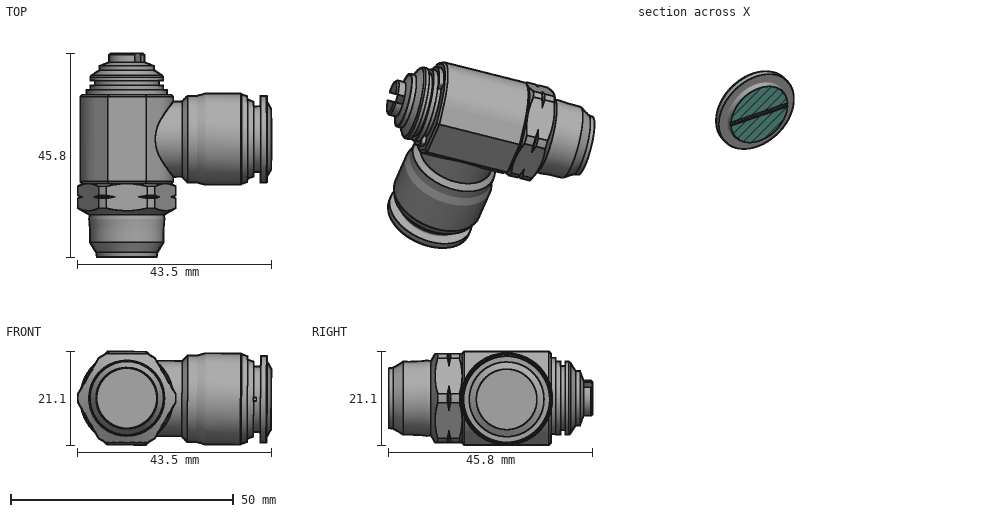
import cadquery as cq
import math

swivel_angle = 0.46

body_radius = 10.5
body_half_length = 10.0
body_chamfer = 0.5

hex_across_flats = 20.0
hex_corner_radius = 11.02
hex_length = 7.0
hex_chamfer_angle = math.radians(30)
hex_groove_y = -12.95
hex_groove_bottom_radius = 10.35
hex_groove_half_width = 0.35

stem_top_radius = 8.4
stem_collar_y = -17.95
stem_thread_radius = 8.5
stem_step_y = -20.3
stem_step_radius = 8.3
stem_taper_y = -23.2
stem_taper_radius = 8.27
stem_nose_y = -25.45
stem_nose_radius = 6.9
stem_end_radius = 6.75
stem_end_y = -26.5

clip_top_y = 11.05
cap_rim_radius = 8.25
cap_groove_radius = 7.25
cap_groove_bottom_y = 12.1
cap_groove_top_y = 13.15
cap_rim_top_y = 13.95
cap_edge_y = 14.35
cap_edge_radius = 7.95
collar_radius = 6.15
collar_bottom_y = 15.5
collar_top_y = 16.55
collar_cone_radius = 5.9
knob_radius = 4.0
knob_bottom_y = 17.3
knob_top_y = 19.31
knob_chamfer = 0.4
knob_slot_width = 1.8
knob_slot_angle = 50.5

clip_radius = 9.1
clip_gap_start = 192.0
clip_gap_end = 295.0
clip_end_fillet = 0.5

port_neck_radius = 8.5
port_shoulder_x = 12.4
port_sleeve_x = 13.65
port_sleeve_radius = 9.75
port_sleeve_end_x = 15.72
port_barrel_x = 17.6
port_barrel_radius = 10.27
port_barrel_end_x = 25.55
port_lip_x = 25.77
port_lip_radius = 10.1
port_step_x = 27.1
port_step_radius = 9.65
port_nose_radius = 8.95
port_end_x = 28.5
port_end_radius = 8.4
collet_radius = 7.4
collet_fillet = 0.35
collet_flange_x = 30.04
collet_flange_radius = 9.75
collet_flange_edge_x = 31.33
collet_flange_end_x = 31.53
collet_flange_end_radius = 9.67
collet_cone_radius = 8.4
collet_end_radius = 6.8
collet_end_x = 32.475
collet_slit_width = 0.75
collet_slit_end_x = 29.05


def spin_about_y(points):
    """Revolve a (radius, y) outline about the Y axis."""
    profile = cq.Workplane("XY").polyline(points).close()
    return profile.revolve(360, (0, 0, 0), (0, 1, 0))


def prism_along_y(sketch, bottom_y, top_y):
    """Extrude an outline drawn on the XZ plane from bottom_y up to top_y."""
    return sketch.extrude(bottom_y - top_y).translate((0, bottom_y, 0))


def make_body():
    octagon_half_flat = body_radius * math.tan(math.radians(22.5))
    tangent = body_radius * math.sqrt(0.5)
    outline = (
        cq.Workplane("XZ")
        .moveTo(octagon_half_flat, body_radius)
        .lineTo(tangent, tangent)
        .threePointArc((body_radius, 0), (tangent, -tangent))
        .lineTo(octagon_half_flat, -body_radius)
        .lineTo(-octagon_half_flat, -body_radius)
        .lineTo(-tangent, -tangent)
        .threePointArc((-body_radius, 0), (-tangent, tangent))
        .lineTo(-octagon_half_flat, body_radius)
        .close()
    )
    body = prism_along_y(outline, -body_half_length, body_half_length)
    return body.faces("<Y or >Y").chamfer(body_chamfer)


def make_hexagon():
    top_y = -body_half_length
    bottom_y = top_y - hex_length
    flat_radius = hex_across_flats / 2
    corner_diameter = hex_across_flats / math.cos(math.radians(30))
    outline = cq.Workplane("XZ").polygon(6, corner_diameter)
    hexagon = prism_along_y(outline, bottom_y, top_y)

    slope = math.tan(hex_chamfer_angle)
    top_drop = (hex_corner_radius - flat_radius) * slope
    bottom_rise = (hex_corner_radius - stem_top_radius) * slope
    envelope = spin_about_y([
        (0, top_y),
        (flat_radius, top_y),
        (hex_corner_radius, top_y - top_drop),
        (hex_corner_radius, hex_groove_y + hex_groove_half_width),
        (hex_groove_bottom_radius, hex_groove_y),
        (hex_corner_radius, hex_groove_y - hex_groove_half_width),
        (hex_corner_radius, bottom_y + bottom_rise),
        (stem_top_radius, bottom_y),
        (0, bottom_y),
    ])
    return hexagon.intersect(envelope)


def make_stem():
    return spin_about_y([
        (0, -body_half_length),
        (stem_top_radius, -body_half_length),
        (stem_top_radius, -body_half_length - hex_length),
        (stem_thread_radius, stem_collar_y),
        (stem_step_radius, stem_step_y),
        (stem_taper_radius, stem_taper_y),
        (stem_nose_radius, stem_nose_y),
        (stem_end_radius, stem_end_y),
        (0, stem_end_y),
    ])


def make_cap():
    return spin_about_y([
        (0, body_half_length),
        (cap_groove_radius, body_half_length),
        (cap_groove_radius, clip_top_y),
        (cap_rim_radius, clip_top_y),
        (cap_rim_radius, cap_groove_bottom_y),
        (cap_groove_radius, cap_groove_bottom_y),
        (cap_groove_radius, cap_groove_top_y),
        (cap_rim_radius, cap_groove_top_y),
        (cap_rim_radius, cap_rim_top_y),
        (cap_edge_radius, cap_edge_y),
        (collar_radius, collar_bottom_y),
        (collar_radius, collar_top_y),
        (collar_cone_radius, collar_top_y),
        (knob_radius, knob_bottom_y),
        (knob_radius, knob_top_y - knob_chamfer),
        (knob_radius - knob_chamfer, knob_top_y),
        (0, knob_top_y),
    ])


def make_knob_slot():
    outline = (
        cq.Workplane("XZ")
        .transformed(rotate=(0, 0, knob_slot_angle))
        .rect(3 * knob_radius, knob_slot_width)
    )
    return prism_along_y(outline, knob_bottom_y, knob_top_y)


def make_clip():
    def rim_point(angle):
        turn = math.radians(angle)
        return (clip_radius * math.cos(turn), clip_radius * math.sin(turn))

    middle = (clip_gap_start + clip_gap_end) / 2 + 180
    outline = (
        cq.Workplane("XZ")
        .moveTo(0, 0)
        .lineTo(*rim_point(clip_gap_end))
        .threePointArc(rim_point(middle), rim_point(clip_gap_start))
        .close()
    )
    clip = prism_along_y(outline, body_half_length, clip_top_y)
    return clip.edges("|Y").edges("<X or <Z").fillet(clip_end_fillet)


def make_port():
    fillet_mid = collet_fillet * (1 - math.sqrt(0.5))
    profile = (
        cq.Workplane("XY")
        .moveTo(0, 0)
        .lineTo(0, port_neck_radius)
        .lineTo(port_shoulder_x, port_neck_radius)
        .lineTo(port_sleeve_x, port_sleeve_radius)
        .lineTo(port_sleeve_end_x, port_sleeve_radius)
        .lineTo(port_barrel_x, port_barrel_radius)
        .lineTo(port_barrel_end_x, port_barrel_radius)
        .lineTo(port_lip_x, port_lip_radius)
        .lineTo(port_step_x, port_step_radius)
        .lineTo(port_step_x, port_nose_radius)
        .lineTo(port_end_x, port_end_radius)
        .lineTo(port_end_x, collet_radius)
        .lineTo(collet_flange_x - collet_fillet, collet_radius)
        .threePointArc(
            (collet_flange_x - fillet_mid, collet_radius + fillet_mid),
            (collet_flange_x, collet_radius + collet_fillet),
        )
        .lineTo(collet_flange_x, collet_flange_radius)
        .lineTo(collet_flange_edge_x, collet_flange_radius)
        .lineTo(collet_flange_end_x, collet_flange_end_radius)
        .lineTo(collet_flange_end_x, collet_cone_radius)
        .lineTo(collet_end_x, collet_end_radius)
        .lineTo(collet_end_x, 0)
        .close()
    )
    return profile.revolve(360, (0, 0, 0), (1, 0, 0))


def make_collet_slit():
    length = collet_slit_end_x - port_end_x
    slit = cq.Workplane("XY").box(length, 3 * collet_radius, collet_slit_width)
    return slit.translate((port_end_x + length / 2, 0, 0))


swivel = make_body().union(make_port().cut(make_collet_slit()))
swivel = swivel.rotate((0, 0, 0), (0, 1, 0), swivel_angle)
cap = make_cap().cut(make_knob_slot())

result = (
    swivel
    .union(make_hexagon())
    .union(make_stem())
    .union(cap)
    .union(make_clip())
)